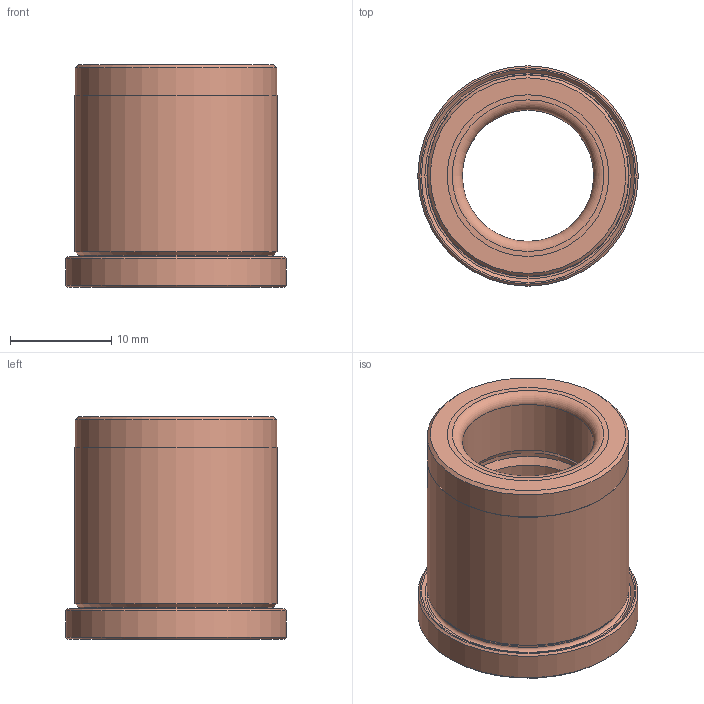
import cadquery as cq
import math


total_height = 22.0
bore_radius = 6.5
sleeve_radius = 8.0
body_radius = 10.0

flange_radius = 10.9
flange_height = 3.0
flange_chamfer = 0.2

lead_relief = 0.03
lead_radius = body_radius - lead_relief
lead_height = 3.0
lead_chamfer = 0.3

undercut_depth = 0.35
undercut_floor_width = 0.55
undercut_top = 3.5
neck_radius = body_radius - undercut_depth
neck_fillet = undercut_depth

mouth_fillet = 1.0
oil_groove_center = 14.57
oil_groove_width = 1.84
oil_groove_floor_width = 0.44
oil_groove_depth = 0.52


def make_housing():
    """Flanged housing with an undercut corner and a through bore for the sleeve."""
    floor_z = flange_height - undercut_depth
    floor_outer_radius = neck_radius + undercut_floor_width
    groove_edge_radius = floor_outer_radius + undercut_depth
    neck_top = undercut_top - undercut_depth
    lead_bottom = total_height - lead_height

    fillet_bulge = neck_fillet * (1 - math.sqrt(0.5))
    fillet_middle = (neck_radius + fillet_bulge, floor_z + fillet_bulge)

    profile = (
        cq.Workplane("XZ")
        .moveTo(sleeve_radius, 0)
        .lineTo(flange_radius - flange_chamfer, 0)
        .lineTo(flange_radius, flange_chamfer)
        .lineTo(flange_radius, flange_height - flange_chamfer)
        .lineTo(flange_radius - flange_chamfer, flange_height)
        .lineTo(groove_edge_radius, flange_height)
        .lineTo(floor_outer_radius, floor_z)
        .lineTo(neck_radius + neck_fillet, floor_z)
        .threePointArc(fillet_middle, (neck_radius, floor_z + neck_fillet))
        .lineTo(neck_radius, neck_top)
        .lineTo(body_radius, undercut_top)
        .lineTo(body_radius, lead_bottom)
        .lineTo(lead_radius, lead_bottom)
        .lineTo(lead_radius, total_height - lead_chamfer)
        .lineTo(lead_radius - lead_chamfer, total_height)
        .lineTo(sleeve_radius, total_height)
        .close()
    )
    return profile.revolve(360, (0, 0, 0), (0, 1, 0))


def make_sleeve():
    """Full-length bearing sleeve with a rounded mouth and an oil groove in its bore."""
    sleeve = cq.Workplane("XY").circle(sleeve_radius).circle(bore_radius).extrude(total_height)
    mouth_edge = cq.selectors.RadiusNthSelector(0)
    sleeve = sleeve.faces(">Z").edges(mouth_edge).fillet(mouth_fillet)
    return sleeve.cut(make_oil_groove())


def make_oil_groove():
    """Ring with a trapezoidal section, narrowing outward from the bore."""
    groove_radius = bore_radius + oil_groove_depth
    half_mouth = oil_groove_width / 2
    half_floor = oil_groove_floor_width / 2
    profile = (
        cq.Workplane("XZ")
        .moveTo(bore_radius, oil_groove_center - half_mouth)
        .lineTo(groove_radius, oil_groove_center - half_floor)
        .lineTo(groove_radius, oil_groove_center + half_floor)
        .lineTo(bore_radius, oil_groove_center + half_mouth)
        .close()
    )
    return profile.revolve(360, (0, 0, 0), (0, 1, 0))


housing = make_housing()
sleeve = make_sleeve()

result = cq.Compound.makeCompound([housing.val(), sleeve.val()])